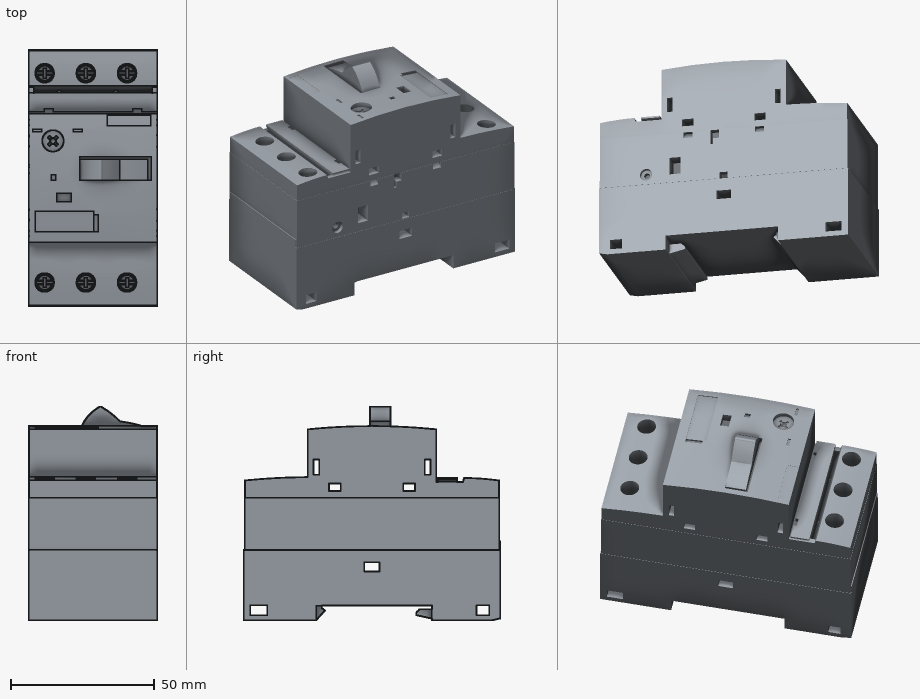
import cadquery as cq
import math

WIDTH = 45.0
LENGTH = 89.6
HEIGHT = 74.67
HALF_WIDTH = WIDTH / 2
HALF_LENGTH = LENGTH / 2
THROUGH = 2 * WIDTH

BASE_TOP_Z = 24.75
COVER_SEAM_Z = 42.87
SHOULDER_END_Z = 48.9
SHOULDER_CREST_Z = 50.1
SHOULDER_MID_Z = 49.75
REAR_SHOULDER_MID_Z = 49.45
TERMINAL_STEP_Z = 48.35
HOOD_END_Z = 66.75
HOOD_CREST_Z = 67.9

MIDDLE_HALF_LENGTH = HALF_LENGTH - 0.3
HOOD_HALF_LENGTH = 22.45
SHELF_START_Y = 34.2
SHELF_END_Y = 32.15
TERMINAL_STEP_Y = 31.7
COVER_INSET = 0.08

SEAM_GROOVE_HEIGHT = 0.3
SEAM_GROOVE_DEPTH = 0.1
REAR_LIP_HALF_WIDTH = 22.0
REAR_LIP_TOP_Z = 27.6

RAIL_SLOT_REAR_Y = 20.9
RAIL_SLOT_FRONT_Y = -19.5
RAIL_SLOT_DEPTH = 5.15
FOOT_BEVEL_LENGTH = 2.9
FOOT_BEVEL_HEIGHT = 0.65
CLIP_WIDTH = 33.0
CLIP_OVERLAP = 1.0
HOOK_BOTTOM_Z = 0.6
HOOK_TIP_LENGTH = 5.5
HOOK_TIP_BOTTOM_Z = 1.8
HOOK_TIP_TOP_Z = 2.7
HOOK_TOP_LENGTH = 4.2
HOOK_TOP_Z = 3.95
CATCH_FOOT_Z = 0.05
CATCH_TIP_LENGTH = 3.1
CATCH_TIP_Z = 3.45
CATCH_NECK_LENGTH = 2.0
CATCH_NECK_Z = 4.3

SCREW_XS = (-16.9, -2.5, 11.9)
SCREW_REAR_Y = 36.6
SCREW_FRONT_Y = -36.5
SCREW_WELL_RADIUS = 3.3
SCREW_FLOOR_Z = 36.0
SCREW_HEAD_RADIUS = 2.95
SCREW_HEAD_HEIGHT = 2.5
SCREW_HEAD_CHAMFER = 0.35
SCREW_SLOT_WIDTH = 1.6
SCREW_SLOT_DEPTH = 0.5
SCREW_BLADE_WIDTH = 0.9
SCREW_BLADE_DEPTH = 0.9
SCREW_CROSS_WIDTH = 1.05
SCREW_CROSS_LENGTH = 3.4
SCREW_CROSS_DEPTH = 1.2

PLATE_REAR_Y = 29.75
PLATE_FRONT_Y = 23.05
PLATE_TOP_Z = 49.85
PLATE_EDGE_HEIGHT = 0.6
PLATE_HALF_WIDTH = HALF_WIDTH - COVER_INSET
POCKET_HALF_WIDTH = 20.65
POCKET_SLOPE = (SHOULDER_MID_Z - TERMINAL_STEP_Z) / (SHELF_END_Y - TERMINAL_STEP_Y)
PLATE_NOTCH_X = 15.5
PLATE_NOTCH_WIDTH = 3.15
PLATE_NOTCH_LENGTH = 1.15
VENT_XS = (-11.8, 8.0)
VENT_RADIUS = 0.95

ROCKER_OPENING = (-4.7, 20.4, -0.75, 7.4)
ROCKER_REAR_Y = 6.5
ROCKER_OPENING_FLOOR_Z = 65.5

DIAL_X = -14.0
DIAL_Y = 12.95
DIAL_RADIUS = 3.75
DIAL_DEPTH = 1.6
DIAL_ARM_LENGTH = 4.2
DIAL_ARM_WIDTH = 0.9
DIAL_ARM_DEPTH = 0.6
DIAL_CENTRE_RADIUS = 1.15

HOOD_RECESSES = (
    (-21.0, -17.85, 16.1, 17.1, 0.5),
    (-6.85, -3.7, 16.1, 17.1, 0.5),
    (-14.65, -13.0, -0.85, 1.15, 1.0),
    (-12.6, -7.6, -8.35, -5.25, 3.0),
    (-20.1, 0.2, -18.85, -11.6, 0.3),
    (0.2, 1.75, -18.85, -12.8, 1.0),
    (4.9, 20.1, 18.2, 21.9, 0.1),
)

SIDE_OPENINGS = (
    (18.45, 20.4, 50.95, 56.15),
    (-20.4, -18.45, 50.95, 56.15),
    (10.95, 14.95, 45.2, 47.75),
    (-15.0, -11.0, 45.2, 47.75),
    (-2.65, 2.6, 17.15, 20.25),
    (36.55, 40.9, 1.8, 5.2),
    (-42.45, -36.6, 1.8, 5.2),
)

LATCH_YS = (12.8, -12.85)
LATCH_WIDTH = 3.15
LATCH_HEIGHT = 2.1
WINDOW = (15.45, 19.5, 27.75, 33.85)
WINDOW_DEPTH = 6.0
KEYWAY_REAR_Y = 4.7
KEYWAY_WIDTH = 3.1
KEYWAY_HEIGHT = 3.0
KEYWAY_LEG_WIDTH = 0.95
KEYWAY_LEG_HEIGHT = 5.2
KEYWAY_DEPTH = 3.0
SIDE_BORE_Y = 27.9
SIDE_BORE_Z = 28.3
SIDE_BORE_RADIUS = 2.15
SIDE_BORE_DEPTH = 1.5
SIDE_PILOT_RADIUS = 1.05
SIDE_PILOT_DEPTH = 3.5
SLOPED_RECESS_HALF_WIDTH = 1.45
SLOPED_RECESS_TOP_Z = 27.0
SLOPED_RECESS_TOP_DEPTH = 2.5
SLOPED_RECESS_BOTTOM_DEPTH = 4.0


def box(x_from, x_to, y_from, y_to, z_from, z_to):
    """Block between two opposite corners."""
    size = (x_to - x_from, y_to - y_from, z_to - z_from)
    return cq.Workplane("XY").box(*size, centered=False).translate((x_from, y_from, z_from))


def centred_box(x_centre, y_centre, x_size, y_size, z_from, z_to):
    """Block centred on a point in plan."""
    return box(
        x_centre - x_size / 2, x_centre + x_size / 2,
        y_centre - y_size / 2, y_centre + y_size / 2,
        z_from, z_to,
    )


def cylinder(x, y, radius, z_from, z_to):
    """Upright cylinder."""
    return cq.Workplane("XY", origin=(x, y, z_from)).circle(radius).extrude(z_to - z_from)


def side_prism(points, width):
    """Y-Z polygon extruded symmetrically along X."""
    return cq.Workplane("YZ").polyline(points).close().extrude(width / 2, both=True)


def hood_surface_z(y):
    """Height of the arched hood top at a given Y."""
    rise = HOOD_CREST_Z - HOOD_END_Z
    radius = (HOOD_HALF_LENGTH**2 + rise**2) / (2 * rise)
    return HOOD_CREST_Z - radius + math.sqrt(radius**2 - y**2)


def make_base():
    """Lower housing with the rail slot between its two feet."""
    return side_prism(
        [
            (-HALF_LENGTH, 0),
            (RAIL_SLOT_FRONT_Y, 0),
            (RAIL_SLOT_FRONT_Y, RAIL_SLOT_DEPTH),
            (RAIL_SLOT_REAR_Y, RAIL_SLOT_DEPTH),
            (RAIL_SLOT_REAR_Y, 0),
            (HALF_LENGTH - FOOT_BEVEL_LENGTH, 0),
            (HALF_LENGTH, FOOT_BEVEL_HEIGHT),
            (HALF_LENGTH, BASE_TOP_Z),
            (-HALF_LENGTH, BASE_TOP_Z),
        ],
        WIDTH,
    )


def make_rail_clips():
    """Fixed hook at the rear of the rail slot and sprung catch at its front."""
    rear = RAIL_SLOT_REAR_Y
    front = RAIL_SLOT_FRONT_Y
    hook = side_prism(
        [
            (rear + CLIP_OVERLAP, HOOK_BOTTOM_Z),
            (rear, HOOK_BOTTOM_Z),
            (rear - HOOK_TIP_LENGTH, HOOK_TIP_BOTTOM_Z),
            (rear - HOOK_TIP_LENGTH, HOOK_TIP_TOP_Z),
            (rear - HOOK_TOP_LENGTH, HOOK_TOP_Z),
            (rear + CLIP_OVERLAP, HOOK_TOP_Z),
        ],
        CLIP_WIDTH,
    )
    catch = side_prism(
        [
            (front - CLIP_OVERLAP, CATCH_FOOT_Z),
            (front, CATCH_FOOT_Z),
            (front + CATCH_TIP_LENGTH, CATCH_TIP_Z),
            (front + CATCH_NECK_LENGTH, CATCH_NECK_Z),
            (front + CATCH_NECK_LENGTH, RAIL_SLOT_DEPTH + CLIP_OVERLAP),
            (front - CLIP_OVERLAP, RAIL_SLOT_DEPTH + CLIP_OVERLAP),
        ],
        CLIP_WIDTH,
    )
    return hook.union(catch)


def make_middle():
    """Middle housing, with the low lip along its rear face."""
    middle = box(
        -HALF_WIDTH, HALF_WIDTH, -MIDDLE_HALF_LENGTH, MIDDLE_HALF_LENGTH, BASE_TOP_Z, COVER_SEAM_Z
    )
    lip = box(
        -REAR_LIP_HALF_WIDTH, REAR_LIP_HALF_WIDTH,
        MIDDLE_HALF_LENGTH, HALF_LENGTH, BASE_TOP_Z, REAR_LIP_TOP_Z,
    )
    return middle.union(lip)


def make_seam_groove():
    """Shallow groove in both long sides at the top of the base."""
    groove_levels = (BASE_TOP_Z - SEAM_GROOVE_HEIGHT, BASE_TOP_Z)
    full = centred_box(0, 0, WIDTH, LENGTH, *groove_levels)
    core = centred_box(0, 0, WIDTH - 2 * SEAM_GROOVE_DEPTH, LENGTH, *groove_levels)
    return full.cut(core)


def make_cover():
    """Cover with arched shoulders and the arched hood between them."""
    end_y = MIDDLE_HALF_LENGTH - COVER_INSET
    mid_front_shoulder_y = (end_y + HOOD_HALF_LENGTH) / 2
    mid_rear_shoulder_y = (end_y + SHELF_START_Y) / 2
    return (
        cq.Workplane("YZ")
        .moveTo(-end_y, COVER_SEAM_Z)
        .lineTo(-end_y, SHOULDER_END_Z)
        .threePointArc((-mid_front_shoulder_y, SHOULDER_MID_Z), (-HOOD_HALF_LENGTH, SHOULDER_CREST_Z))
        .lineTo(-HOOD_HALF_LENGTH, HOOD_END_Z)
        .threePointArc((0, HOOD_CREST_Z), (HOOD_HALF_LENGTH, HOOD_END_Z))
        .lineTo(HOOD_HALF_LENGTH, TERMINAL_STEP_Z)
        .lineTo(TERMINAL_STEP_Y, TERMINAL_STEP_Z)
        .lineTo(SHELF_END_Y, SHOULDER_MID_Z)
        .lineTo(SHELF_START_Y, SHOULDER_MID_Z)
        .threePointArc((mid_rear_shoulder_y, REAR_SHOULDER_MID_Z), (end_y, SHOULDER_END_Z))
        .lineTo(end_y, COVER_SEAM_Z)
        .close()
        .extrude(HALF_WIDTH - COVER_INSET, both=True)
    )


def make_terminal_plate():
    """Plate with undercut ends, notched along its front edge."""
    edge_bottom_z = PLATE_TOP_Z - PLATE_EDGE_HEIGHT
    plate = (
        cq.Workplane("XZ", origin=(0, PLATE_REAR_Y, 0))
        .moveTo(-POCKET_HALF_WIDTH, TERMINAL_STEP_Z)
        .lineTo(POCKET_HALF_WIDTH, TERMINAL_STEP_Z)
        .lineTo(PLATE_HALF_WIDTH, edge_bottom_z)
        .lineTo(PLATE_HALF_WIDTH, PLATE_TOP_Z)
        .lineTo(-PLATE_HALF_WIDTH, PLATE_TOP_Z)
        .lineTo(-PLATE_HALF_WIDTH, edge_bottom_z)
        .close()
        .extrude(PLATE_REAR_Y - PLATE_FRONT_Y)
    )
    for notch_x in (-PLATE_NOTCH_X, PLATE_NOTCH_X):
        notch = box(
            notch_x - PLATE_NOTCH_WIDTH / 2, notch_x + PLATE_NOTCH_WIDTH / 2,
            PLATE_FRONT_Y, PLATE_FRONT_Y + PLATE_NOTCH_LENGTH, TERMINAL_STEP_Z, PLATE_TOP_Z,
        )
        plate = plate.cut(notch)
    return plate


def make_terminal_pocket():
    """Pocket that carries the shelf's steep step on down behind the plate, with two vents."""
    floor_z = TERMINAL_STEP_Z - POCKET_SLOPE * (TERMINAL_STEP_Y - PLATE_REAR_Y)
    pocket = side_prism(
        [
            (TERMINAL_STEP_Y, TERMINAL_STEP_Z),
            (PLATE_REAR_Y, floor_z),
            (PLATE_REAR_Y, TERMINAL_STEP_Z),
        ],
        2 * POCKET_HALF_WIDTH,
    )
    behind_plate = box(-HALF_WIDTH, HALF_WIDTH, PLATE_REAR_Y, HALF_LENGTH, 0, TERMINAL_STEP_Z)
    for x in VENT_XS:
        vent = cylinder(x, PLATE_REAR_Y, VENT_RADIUS, floor_z, TERMINAL_STEP_Z)
        pocket = pocket.union(vent.intersect(behind_plate))
    return pocket


def make_screw_well(x, y):
    """Well of one terminal screw, leaving its slotted head standing at the bottom."""
    head_top_z = SCREW_FLOOR_Z + SCREW_HEAD_HEIGHT
    slot_floor_z = head_top_z - SCREW_SLOT_DEPTH
    blade_floor_z = head_top_z - SCREW_BLADE_DEPTH
    cross_floor_z = head_top_z - SCREW_CROSS_DEPTH
    slot_length = 2 * SCREW_HEAD_RADIUS
    head = cylinder(x, y, SCREW_HEAD_RADIUS, SCREW_FLOOR_Z, head_top_z)
    head = head.faces(">Z").chamfer(SCREW_HEAD_CHAMFER)
    head = head.cut(centred_box(x, y, slot_length, SCREW_SLOT_WIDTH, slot_floor_z, head_top_z))
    head = head.cut(centred_box(x, y, slot_length, SCREW_BLADE_WIDTH, blade_floor_z, slot_floor_z))
    head = head.cut(centred_box(x, y, SCREW_CROSS_WIDTH, SCREW_CROSS_LENGTH, cross_floor_z, head_top_z))
    well = cylinder(x, y, SCREW_WELL_RADIUS, SCREW_FLOOR_Z, HOOD_END_Z)
    return well.cut(head)


def make_rocker():
    """Rocker lever: rounded thumb face, narrow crest and low tail."""
    y_from = ROCKER_OPENING[2]
    thumb_edge = (ROCKER_OPENING[0], 66.0)
    thumb_middle = (-1.4, 71.7)
    crest_start = (2.2, HEIGHT - 0.1)
    crest_top = (2.6, HEIGHT)
    crest_end = (3.25, HEIGHT - 0.3)
    flank_middle = (6.7, 72.05)
    valley = (9.35, 69.6)
    tail_middle = (14.2, 68.7)
    tail_end = (19.2, 67.3)
    return (
        cq.Workplane("XZ", origin=(0, ROCKER_REAR_Y, 0))
        .moveTo(thumb_edge[0], ROCKER_OPENING_FLOOR_Z)
        .lineTo(*thumb_edge)
        .threePointArc(thumb_middle, crest_start)
        .threePointArc(crest_top, crest_end)
        .threePointArc(flank_middle, valley)
        .threePointArc(tail_middle, tail_end)
        .lineTo(tail_end[0], ROCKER_OPENING_FLOOR_Z)
        .close()
        .extrude(ROCKER_REAR_Y - y_from)
    )


def make_dial_recess():
    """Round dial recess with a diagonal cross and a hollowed centre."""
    floor_z = hood_surface_z(DIAL_Y) - DIAL_DEPTH
    recess = cylinder(DIAL_X, DIAL_Y, DIAL_RADIUS, floor_z, HEIGHT)
    arm = centred_box(0, 0, DIAL_ARM_LENGTH, DIAL_ARM_WIDTH, floor_z - DIAL_ARM_DEPTH, floor_z)
    for angle in (45, 135):
        turned = arm.rotate((0, 0, 0), (0, 0, 1), angle)
        recess = recess.union(turned.translate((DIAL_X, DIAL_Y, 0)))
    centre = cq.Workplane("XY", origin=(DIAL_X, DIAL_Y, floor_z)).sphere(DIAL_CENTRE_RADIUS)
    return recess.union(centre)


def make_hood_recess(x_from, x_to, y_from, y_to, depth):
    """Recess in the hood top whose floor follows the hood's slope."""
    return (
        cq.Workplane("YZ", origin=(x_from, 0, 0))
        .moveTo(y_from, hood_surface_z(y_from) - depth)
        .lineTo(y_to, hood_surface_z(y_to) - depth)
        .lineTo(y_to, HEIGHT)
        .lineTo(y_from, HEIGHT)
        .close()
        .extrude(x_to - x_from)
    )


def make_side_recesses():
    """Blind recesses in the -X side of the middle housing."""
    face_x = -HALF_WIDTH
    window = box(face_x, face_x + WINDOW_DEPTH, *WINDOW)

    keyway_end_x = face_x + KEYWAY_DEPTH
    keyway = box(
        face_x, keyway_end_x, KEYWAY_REAR_Y - KEYWAY_WIDTH, KEYWAY_REAR_Y,
        COVER_SEAM_Z - KEYWAY_HEIGHT, COVER_SEAM_Z,
    )
    keyway_leg = box(
        face_x, keyway_end_x, KEYWAY_REAR_Y - KEYWAY_LEG_WIDTH, KEYWAY_REAR_Y,
        COVER_SEAM_Z - KEYWAY_LEG_HEIGHT, COVER_SEAM_Z,
    )

    bore_plane = cq.Workplane("YZ", origin=(face_x, SIDE_BORE_Y, SIDE_BORE_Z))
    bore = bore_plane.circle(SIDE_BORE_RADIUS).extrude(SIDE_BORE_DEPTH)
    pilot = bore_plane.circle(SIDE_PILOT_RADIUS).extrude(SIDE_PILOT_DEPTH)

    sloped_recess = (
        cq.Workplane("XZ", origin=(0, SLOPED_RECESS_HALF_WIDTH, 0))
        .moveTo(face_x, BASE_TOP_Z)
        .lineTo(face_x + SLOPED_RECESS_BOTTOM_DEPTH, BASE_TOP_Z)
        .lineTo(face_x + SLOPED_RECESS_TOP_DEPTH, SLOPED_RECESS_TOP_Z)
        .lineTo(face_x, SLOPED_RECESS_TOP_Z)
        .close()
        .extrude(2 * SLOPED_RECESS_HALF_WIDTH)
    )

    recesses = window.union(keyway).union(keyway_leg).union(bore).union(pilot).union(sloped_recess)
    for y in LATCH_YS:
        latch = (
            cq.Workplane("XZ", origin=(0, y + LATCH_WIDTH / 2, 0))
            .moveTo(face_x, COVER_SEAM_Z - LATCH_HEIGHT)
            .lineTo(face_x + LATCH_HEIGHT, COVER_SEAM_Z)
            .lineTo(face_x, COVER_SEAM_Z)
            .close()
            .extrude(LATCH_WIDTH)
        )
        recesses = recesses.union(latch)
    return recesses


body = make_base().union(make_rail_clips()).union(make_middle()).union(make_cover())
body = body.cut(make_seam_groove())

body = body.cut(make_terminal_pocket()).union(make_terminal_plate())
for screw_y in (SCREW_REAR_Y, SCREW_FRONT_Y):
    for screw_x in SCREW_XS:
        body = body.cut(make_screw_well(screw_x, screw_y))

for recess_size in HOOD_RECESSES:
    body = body.cut(make_hood_recess(*recess_size))
body = body.cut(make_dial_recess())
body = body.cut(box(*ROCKER_OPENING, ROCKER_OPENING_FLOOR_Z, HEIGHT))
body = body.union(make_rocker())

for opening in SIDE_OPENINGS:
    body = body.cut(box(-THROUGH / 2, THROUGH / 2, *opening))
body = body.cut(make_side_recesses())

result = body